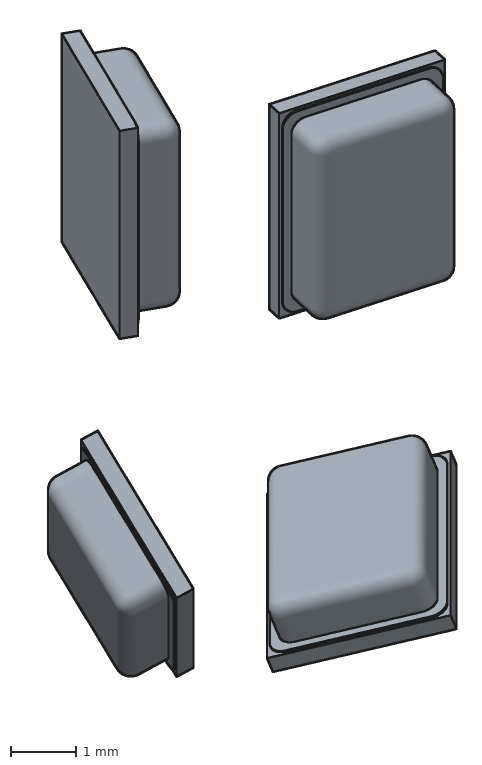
import cadquery as cq

BOARD_WIDTH = 2.95
BOARD_HEIGHT = 3.76
BOARD_THICKNESS = 0.30
TOTAL_THICKNESS = 1.10

SEAL_INSET = 0.05
SEAL_THICKNESS = 0.025

LID_INSET = 0.20
CORNER_RADIUS = 0.25

PAD_DIAMETER = 0.80
PAD_DEPTH = BOARD_THICKNESS / 2
PAD_SPACING_X = 1.70
PAD_SPACING_Z = 2.46

SEAL_FRONT = BOARD_THICKNESS
LID_FRONT = SEAL_FRONT + SEAL_THICKNESS
LID_THICKNESS = TOTAL_THICKNESS - LID_FRONT


def make_layer(inset, front, thickness):
    """Rectangular slab inset from the board edges, growing from front toward +Y."""
    width = BOARD_WIDTH - 2 * inset
    height = BOARD_HEIGHT - 2 * inset
    slab = cq.Workplane("XY").box(width, thickness, height, centered=(True, False, True))
    return slab.translate((0, front, 0))


def make_board():
    """Plain substrate with sharp corners."""
    return make_layer(0, 0, BOARD_THICKNESS)


def make_seal():
    """Thin layer with rounded corners between board and lid."""
    return make_layer(SEAL_INSET, SEAL_FRONT, SEAL_THICKNESS).edges("|Y").fillet(CORNER_RADIUS)


def make_lid():
    """Lid with rounded corners and a rounded rim on its far face."""
    return make_layer(LID_INSET, LID_FRONT, LID_THICKNESS).edges("|Y or >Y").fillet(CORNER_RADIUS)


def make_pads():
    """Four round contact pads, sunk into the board and flush with its front face."""
    return (
        cq.Workplane("XZ")
        .rarray(PAD_SPACING_X, PAD_SPACING_Z, 2, 2)
        .circle(PAD_DIAMETER / 2)
        .extrude(-PAD_DEPTH)
    )


package = make_board().union(make_seal()).union(make_lid())

pads = make_pads()
result = package.cut(pads).union(pads, clean=False)